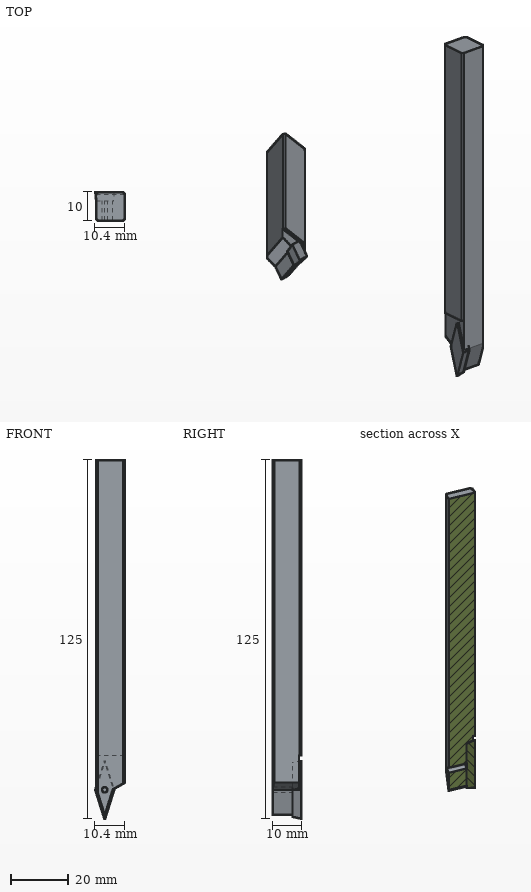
import cadquery as cq
import math

TOOL_LENGTH = 125.0
SHANK_SIZE = 10.0
EDGE_CHAMFER = 0.6

INSERT_OVERHANG = 0.4
INSERT_THICKNESS = 3.1
HALF_NOSE_ANGLE = math.radians(17.5)
INSERT_LENGTH = 20.2
NOSE_RADIUS = 0.2
SMALL_FACE_NOSE_RADIUS = 0.1
CLEARANCE_ANGLE = math.radians(5)

HOLDER_TIP_Z = 1.4
SHOULDER_INNER_Z = 10.1
SHOULDER_OUTER_Z = 12.6
BACK_STEP_DEPTH = 0.8
BACK_STEP_TOP_Z = 22.0
SCREW_HOLE_DIAMETER = 1.9


def nose_reach(inscribed_radius, nose_radius):
    """Distance from the diamond's centre to the end of its rounded acute nose."""
    return (inscribed_radius - nose_radius) / math.sin(HALF_NOSE_ANGLE) + nose_radius


INSCRIBED_RADIUS = (INSERT_LENGTH / 2 - NOSE_RADIUS) * math.sin(HALF_NOSE_ANGLE) + NOSE_RADIUS
INSERT_CENTER_X = INSCRIBED_RADIUS / math.cos(HALF_NOSE_ANGLE) - INSERT_OVERHANG
INSERT_CENTER_Z = INSERT_LENGTH / 2
SEAT_Y = SHANK_SIZE - INSERT_THICKNESS


def diamond_wire(y, inscribed_radius, nose_radius):
    """Diamond outline at height y, with rounded acute noses and sharp side corners."""
    reach = nose_reach(inscribed_radius, nose_radius)
    half_width = inscribed_radius / math.cos(HALF_NOSE_ANGLE)
    tangent_x = nose_radius * math.cos(HALF_NOSE_ANGLE)
    tangent_z = reach - nose_radius * (1 - math.sin(HALF_NOSE_ANGLE))
    plane = cq.Workplane("XZ", origin=(INSERT_CENTER_X, y, INSERT_CENTER_Z))
    outline = (
        plane.moveTo(-half_width, 0)
        .lineTo(-tangent_x, -tangent_z)
        .threePointArc((0, -reach), (tangent_x, -tangent_z))
        .lineTo(half_width, 0)
        .lineTo(tangent_x, tangent_z)
        .threePointArc((0, reach), (-tangent_x, tangent_z))
        .close()
    )
    return outline.val()


def make_insert():
    """Insert whose flanks taper inward from the cutting face to the seat."""
    taper = INSERT_THICKNESS * math.tan(CLEARANCE_ANGLE)
    cutting_face = diamond_wire(SHANK_SIZE, INSCRIBED_RADIUS, NOSE_RADIUS)
    seat_face = diamond_wire(SEAT_Y, INSCRIBED_RADIUS - taper, SMALL_FACE_NOSE_RADIUS)
    return cq.Workplane(cq.Solid.makeLoft([seat_face, cutting_face], True))


def nose_profile():
    """Side outline of the holder: pointed nose, sloping shoulder and straight shank."""
    nose_slope = math.tan(HALF_NOSE_ANGLE)
    flank_top_z = HOLDER_TIP_Z + INSERT_CENTER_X / nose_slope
    shoulder_x = INSERT_CENTER_X + (SHOULDER_INNER_Z - HOLDER_TIP_Z) * nose_slope
    return cq.Workplane("XZ").polyline([
        (INSERT_CENTER_X, HOLDER_TIP_Z),
        (shoulder_x, SHOULDER_INNER_Z),
        (SHANK_SIZE, SHOULDER_OUTER_Z),
        (SHANK_SIZE, TOOL_LENGTH),
        (0, TOOL_LENGTH),
        (0, flank_top_z),
    ]).close().extrude(-SHANK_SIZE)


def make_holder(insert):
    """Chamfered square shank with a pointed nose and a seat matching the insert."""
    bar = cq.Workplane("XY").box(SHANK_SIZE, SHANK_SIZE, TOOL_LENGTH, centered=False)
    holder = bar.edges("|Z").chamfer(EDGE_CHAMFER).intersect(nose_profile())

    back_step = cq.Workplane("XY", origin=(0, SHANK_SIZE - BACK_STEP_DEPTH, 0)).box(
        SHANK_SIZE, BACK_STEP_DEPTH, BACK_STEP_TOP_Z, centered=False
    )
    screw_hole = (
        cq.Workplane("XZ", origin=(INSERT_CENTER_X, 0, INSERT_CENTER_Z))
        .circle(SCREW_HOLE_DIAMETER / 2)
        .extrude(-SEAT_Y)
    )
    return holder.cut(back_step).cut(insert).cut(screw_hole)


insert = make_insert()
holder = make_holder(insert)
result = cq.Compound.makeCompound([*holder.solids().vals(), insert.val()])